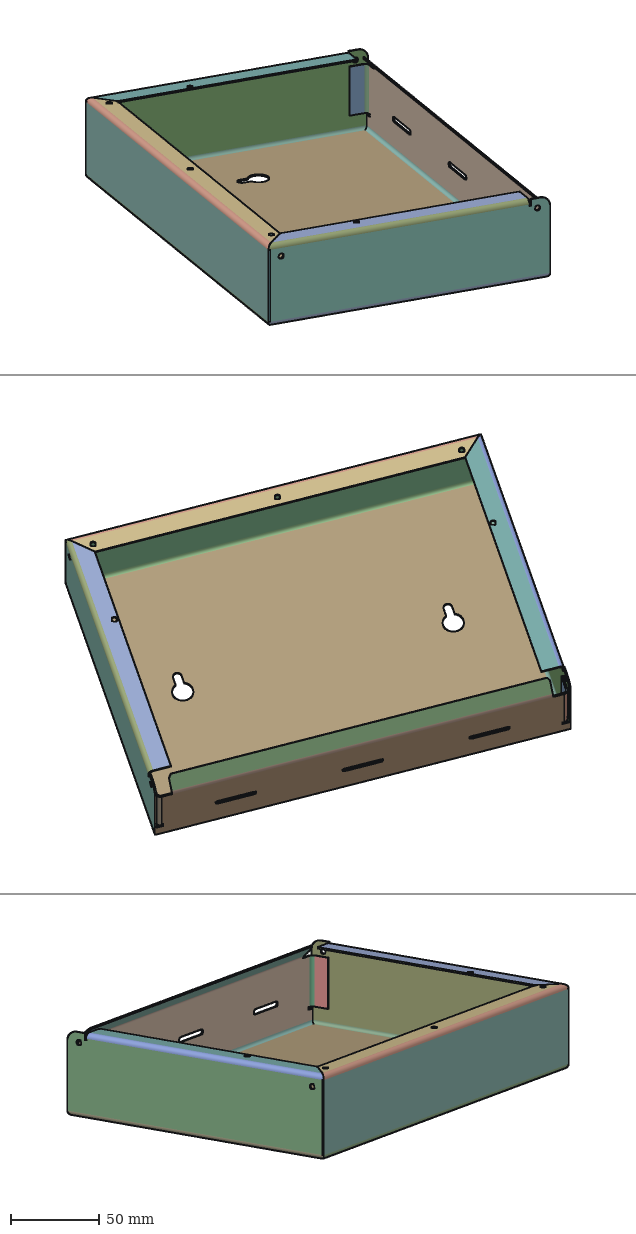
import cadquery as cq
import math

LENGTH = 246.0
WIDTH = 176.0
HEIGHT = 50.0
SHEET = 1.0
BEND_OUTER = 3.0
BEND_INNER = BEND_OUTER - SHEET
SEAM = 0.1

X_LEFT = -LENGTH / 2
Y_FRONT = -WIDTH / 2
Y_BACK = WIDTH / 2

FLANGE_WIDTH = 13.5
TAB_LENGTH = 12.0
TAB_GAP = 1.0
TAB_GAP_DEPTH = 4.0
TAB_CORNER_RADIUS = 6.0

LIP_ANGLE = 45.0
LIP_DEPTH = 7.8
LIP_END_INSET = 10.3
LIP_CHAMFER = 2.0
LIP_CORNER_Z = HEIGHT - LIP_DEPTH / math.tan(math.radians(LIP_ANGLE))
LIP_BEND_SETBACK = BEND_OUTER * math.tan(math.radians(LIP_ANGLE / 2))
BACK_WALL_TOP = LIP_CORNER_Z - LIP_BEND_SETBACK

FLAP_LENGTH = 12.0
FLAP_BOTTOM = 11.0
RELIEF_HEIGHT = 1.5
RELIEF_OVERRUN = 1.0

HOLE_DIAMETER = 3.2
FLANGE_HOLE_INSET = 8.3
FRONT_HOLE_PITCH = 109.0
SIDE_HOLE_X = 112.0
SIDE_HOLE_FROM_FRONT = 60.0
WALL_HOLE_INSET = 8.0
FRONT_WALL_HOLE_DROP = 8.0
BACK_WALL_HOLE_DROP = 6.0
KEYHOLE_X = 80.0
KEYHOLE_DIAMETER = 12.0
KEYHOLE_SLOT_WIDTH = 5.0
KEYHOLE_SLOT_DROP = 10.5
SLOT_SPACING = 75.0
SLOT_LENGTH = 24.0
SLOT_WIDTH = 3.0
SLOT_Z = 20.0


def block(x_range, y_range, z_range):
    """Box between the given coordinate limits."""
    size = [limits[1] - limits[0] for limits in (x_range, y_range, z_range)]
    corner = (x_range[0], y_range[0], z_range[0])
    return cq.Workplane("XY").box(*size, centered=False).translate(corner)


def both_sides(shape):
    """The shape together with its mirror image on the other X side."""
    return shape.union(shape.mirror("YZ"))


def rounded_block(inset, radius):
    """Envelope block with horizontal edges rounded, inset from the outer size."""
    return (
        cq.Workplane("XY")
        .box(LENGTH - 2 * inset, WIDTH - 2 * inset, HEIGHT - 2 * inset)
        .translate((0, 0, HEIGHT / 2))
        .faces("<Z or >Z")
        .edges()
        .fillet(radius)
    )


def make_tray():
    """Floor, walls and top flanges, with the rear upper part left open."""
    tray = rounded_block(0, BEND_OUTER).cut(rounded_block(SHEET, BEND_INNER))
    x_opening = LENGTH / 2 - FLANGE_WIDTH
    opening = block(
        (-x_opening, x_opening),
        (Y_FRONT + FLANGE_WIDTH, Y_BACK),
        (HEIGHT - BEND_OUTER, HEIGHT),
    )
    y_tab = Y_BACK - TAB_LENGTH
    tab_gap = block(
        (X_LEFT, -X_LEFT),
        (y_tab - TAB_GAP, y_tab),
        (HEIGHT - TAB_GAP_DEPTH, HEIGHT),
    )
    rear_top = block((X_LEFT, -X_LEFT), (y_tab, Y_BACK), (BACK_WALL_TOP, HEIGHT))
    corner = block(
        (X_LEFT + SHEET, X_LEFT + SHEET + BEND_OUTER),
        (Y_BACK - SHEET, Y_BACK),
        (FLAP_BOTTOM, HEIGHT),
    )
    relief = block(
        (X_LEFT + SHEET, X_LEFT + SHEET + BEND_OUTER + RELIEF_OVERRUN),
        (Y_BACK - SHEET, Y_BACK),
        (FLAP_BOTTOM - RELIEF_HEIGHT, FLAP_BOTTOM),
    )
    corners = both_sides(corner.union(relief))
    return tray.cut(opening).cut(tab_gap).cut(rear_top).cut(corners)


def make_tabs():
    """Upright side wall tabs at the back, with a rounded rear corner."""
    tab = block(
        (X_LEFT, X_LEFT + SHEET),
        (Y_BACK - TAB_LENGTH, Y_BACK),
        (BACK_WALL_TOP, HEIGHT),
    )
    tab = tab.edges("|X and >Y and >Z").fillet(TAB_CORNER_RADIUS)
    return both_sides(tab)


def make_flaps():
    """Back wall flaps bent forward along the side walls."""
    x_outer = X_LEFT + SHEET + SEAM
    y_tip = Y_BACK - FLAP_LENGTH
    y_bend = Y_BACK - BEND_OUTER
    x_bend = x_outer + BEND_OUTER
    diagonal = math.sqrt(0.5)
    flap = (
        cq.Workplane("XY", origin=(0, 0, FLAP_BOTTOM))
        .moveTo(x_outer, y_tip)
        .lineTo(x_outer, y_bend)
        .threePointArc(
            (x_bend - BEND_OUTER * diagonal, y_bend + BEND_OUTER * diagonal), (x_bend, Y_BACK)
        )
        .lineTo(x_bend, Y_BACK - SHEET)
        .threePointArc(
            (x_bend - BEND_INNER * diagonal, y_bend + BEND_INNER * diagonal), (x_outer + SHEET, y_bend)
        )
        .lineTo(x_outer + SHEET, y_tip)
        .close()
        .extrude(BACK_WALL_TOP - FLAP_BOTTOM)
    )
    return both_sides(flap)


def make_lip():
    """Lip that bends inwards from the top of the back wall."""
    angle = math.radians(LIP_ANGLE)
    y_center = Y_BACK - BEND_OUTER

    def bend_point(radius, turn):
        return (y_center + radius * math.cos(turn), BACK_WALL_TOP + radius * math.sin(turn))

    outer_tip = (Y_BACK - LIP_DEPTH, HEIGHT)
    inner_tip = (outer_tip[0] - SHEET * math.cos(angle), outer_tip[1] - SHEET * math.sin(angle))
    half_length = LENGTH / 2 - LIP_END_INSET
    lip = (
        cq.Workplane("YZ", origin=(-half_length, 0, 0))
        .moveTo(Y_BACK, BACK_WALL_TOP)
        .threePointArc(bend_point(BEND_OUTER, angle / 2), bend_point(BEND_OUTER, angle))
        .lineTo(*outer_tip)
        .lineTo(*inner_tip)
        .lineTo(*bend_point(BEND_INNER, angle))
        .threePointArc(bend_point(BEND_INNER, angle / 2), bend_point(BEND_INNER, 0))
        .close()
        .extrude(2 * half_length)
    )
    y_tip = inner_tip[0]
    corner = (
        cq.Workplane("XY")
        .polyline([
            (-half_length, y_tip),
            (-half_length + LIP_CHAMFER, y_tip),
            (-half_length, y_tip + LIP_CHAMFER),
        ])
        .close()
        .extrude(HEIGHT)
    )
    return lip.cut(both_sides(corner))


def make_seams():
    """Mitre seams of the flanges and the seams where front and side walls meet."""
    cut_length = 2 * math.sqrt(2) * (FLANGE_WIDTH + SHEET)
    mitre = (
        cq.Workplane("XY", origin=(0, 0, HEIGHT - BEND_OUTER))
        .rect(cut_length, SEAM)
        .extrude(BEND_OUTER)
        .rotate((0, 0, 0), (0, 0, 1), 45)
        .translate((X_LEFT, Y_FRONT, 0))
    )
    wall = block(
        (X_LEFT, X_LEFT + SHEET),
        (Y_FRONT + SHEET, Y_FRONT + SHEET + SEAM),
        (BEND_OUTER, HEIGHT - BEND_OUTER),
    )
    return both_sides(mitre.union(wall))


def make_flange_holes():
    """Vertical holes through the front and side flanges."""
    y_front_row = Y_FRONT + FLANGE_HOLE_INSET
    y_side = Y_FRONT + SIDE_HOLE_FROM_FRONT
    places = [(x, y_front_row) for x in (-FRONT_HOLE_PITCH, 0, FRONT_HOLE_PITCH)]
    places += [(-SIDE_HOLE_X, y_side), (SIDE_HOLE_X, y_side)]
    return (
        cq.Workplane("XY", origin=(0, 0, HEIGHT - BEND_OUTER))
        .pushPoints(places)
        .circle(HOLE_DIAMETER / 2)
        .extrude(BEND_OUTER)
    )


def make_wall_holes():
    """Cross holes through both side walls."""
    places = [
        (Y_FRONT + WALL_HOLE_INSET, HEIGHT - FRONT_WALL_HOLE_DROP),
        (Y_BACK - WALL_HOLE_INSET, HEIGHT - BACK_WALL_HOLE_DROP),
    ]
    return (
        cq.Workplane("YZ", origin=(X_LEFT, 0, 0))
        .pushPoints(places)
        .circle(HOLE_DIAMETER / 2)
        .extrude(LENGTH)
    )


def make_keyholes():
    """Hanging keyholes in the floor, with their narrow ends to the front."""
    places = [(-KEYHOLE_X, 0), (KEYHOLE_X, 0)]
    heads = cq.Workplane("XY").pushPoints(places).circle(KEYHOLE_DIAMETER / 2).extrude(SHEET)
    slots = (
        cq.Workplane("XY")
        .pushPoints([(x, -KEYHOLE_SLOT_DROP / 2) for x, _ in places])
        .slot2D(KEYHOLE_SLOT_DROP + KEYHOLE_SLOT_WIDTH, KEYHOLE_SLOT_WIDTH, 90)
        .extrude(SHEET)
    )
    return heads.union(slots)


def make_back_slots():
    """Row of long slots through the back wall."""
    return (
        cq.Workplane("XZ", origin=(0, Y_BACK, 0))
        .pushPoints([(x, SLOT_Z) for x in (-SLOT_SPACING, 0, SLOT_SPACING)])
        .slot2D(SLOT_LENGTH, SLOT_WIDTH)
        .extrude(SHEET)
    )


result = make_tray()
for addition in (make_tabs(), make_flaps(), make_lip()):
    result = result.union(addition, clean=True)
for cutter in (make_seams(), make_flange_holes(), make_wall_holes(), make_keyholes(), make_back_slots()):
    result = result.cut(cutter)